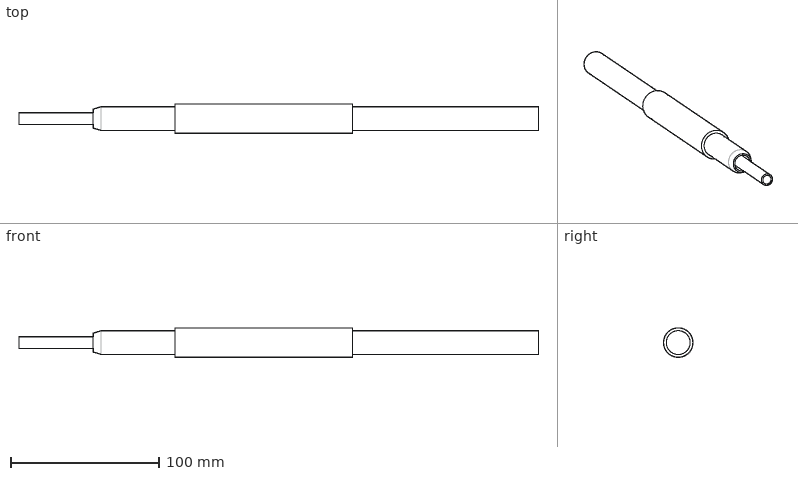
import cadquery as cq

total_length = 350.5
tip_length = 50.0
cone_length = 5.3
nose_length = 49.8
sleeve_length = 120.0
tip_hole_depth = tip_length

tip_diameter = 8.0
tip_hole_diameter = 6.0
bore_diameter = 11.0
cone_front_diameter = 13.0
body_diameter = 16.0
sleeve_diameter = 20.0

tip_x = -total_length / 2
cone_x = tip_x + tip_length
nose_x = cone_x + cone_length
sleeve_front_x = nose_x + nose_length
sleeve_rear_x = sleeve_front_x + sleeve_length
rear_x = total_length / 2
tip_hole_end_x = tip_x + tip_hole_depth


def revolve_about_x(outline):
    """Turn a closed (x, radius) outline into a solid around the X axis."""
    return cq.Workplane("XY").polyline(outline).close().revolve(360, (0, 0, 0), (1, 0, 0))


def make_housing():
    """Tapered nose and thicker sleeve, bored through with a clear gap around the thin rod."""
    bore_radius = bore_diameter / 2
    body_radius = body_diameter / 2
    sleeve_radius = sleeve_diameter / 2
    return revolve_about_x([
        (cone_x, bore_radius),
        (cone_x, cone_front_diameter / 2),
        (nose_x, body_radius),
        (sleeve_front_x, body_radius),
        (sleeve_front_x, sleeve_radius),
        (sleeve_rear_x, sleeve_radius),
        (sleeve_rear_x, bore_radius),
    ])


def make_shaft():
    """Thin rod with a blind hole in its tip, stepping up to a thick rod that butts against the sleeve."""
    hole_radius = tip_hole_diameter / 2
    tip_radius = tip_diameter / 2
    body_radius = body_diameter / 2
    return revolve_about_x([
        (tip_x, hole_radius),
        (tip_x, tip_radius),
        (sleeve_rear_x, tip_radius),
        (sleeve_rear_x, body_radius),
        (rear_x, body_radius),
        (rear_x, 0),
        (tip_hole_end_x, 0),
        (tip_hole_end_x, hole_radius),
    ])


housing = make_housing()
shaft = make_shaft()

result = cq.Compound.makeCompound([housing.val(), shaft.val()])